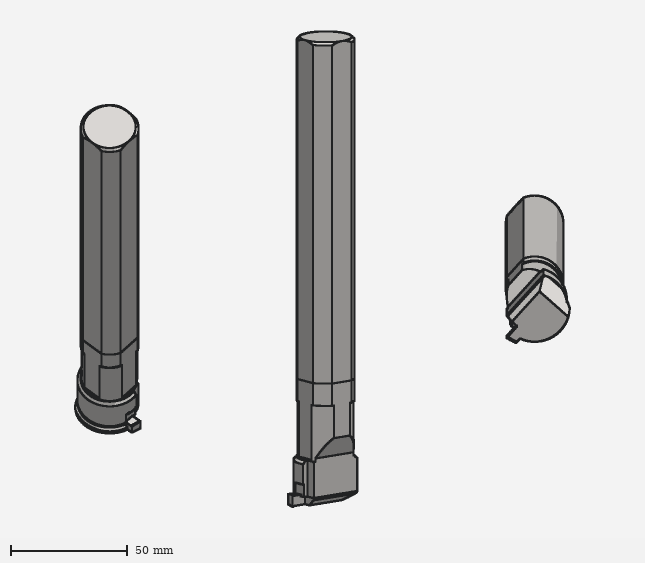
import cadquery as cq
import math


total_length = 203.7
shank_radius = 12.5
flat_offset = 11.2
end_chamfer = shank_radius - flat_offset
shank_bottom = 54.4

neck_top = 44.6
neck_radius = 12.0
collar_top = 20.0
collar_radius = 13.9
collar_chamfer = 1.5
flat_bottom = collar_top + 0.6
back_y = 6.1
back_slope_top = 30.4
back_slope_bottom = 21.4
gullet_x = flat_offset
gullet_y = 1.8
relief_x = 13.2
relief_top = 9.5

seat_z = 4.0
insert_bottom = 0.5
blade_radius = 15.0
blade_cone_top = 3.0
blade_cone_bottom = 2.0
insert_back_y = 5.7
insert_back_bevel = 2.6
heel_x = -6.5
heel_angle = 28.0

tip_x = collar_radius + 4.0
tip_top = 5.3
tip_neck_top = 4.9
tip_depth = 4.5
tip_flare = 0.6
tip_clearance = 1.0

cut_size = 81.5


def cylinder(radius, bottom, top):
    return cq.Workplane("XY").workplane(offset=bottom).circle(radius).extrude(top - bottom)


def box(x_range, y_range, z_range):
    size = [end - start for start, end in (x_range, y_range, z_range)]
    corner = (x_range[0], y_range[0], z_range[0])
    return cq.Workplane("XY").box(*size, centered=False).translate(corner)


def cut_flats(body, bottom, top):
    """Cut the clamping flats on the -Y, +X and +Y sides."""
    for angle in (-90, 0, 90):
        side = box((flat_offset, cut_size), (-cut_size, cut_size), (bottom, top))
        body = body.cut(side.rotate((0, 0, 0), (0, 0, 1), angle))
    return body


def heel_cut():
    """Wedge below the sloping heel on the -X side."""
    run = cut_size
    rise = run * math.tan(math.radians(heel_angle))
    profile = [
        (heel_x, insert_bottom),
        (heel_x - run, insert_bottom + rise),
        (heel_x - run, insert_bottom),
    ]
    return cq.Workplane("XZ").polyline(profile).close().extrude(cut_size / 2, both=True)


def make_shank():
    shank = cylinder(shank_radius, shank_bottom, total_length)
    shank = shank.faces(">Z").chamfer(end_chamfer)
    return cut_flats(shank, shank_bottom, total_length)


def make_head():
    head = cylinder(shank_radius, neck_top, shank_bottom)
    head = head.union(cylinder(neck_radius, collar_top, neck_top))
    head = cut_flats(head, flat_bottom, shank_bottom)
    collar = cylinder(collar_radius, seat_z, collar_top).faces(">Z").chamfer(collar_chamfer)
    head = head.union(collar)

    back_profile = [
        (back_y, seat_z),
        (back_y, back_slope_bottom),
        (flat_offset, back_slope_top),
        (cut_size, back_slope_top),
        (cut_size, seat_z),
    ]
    back = cq.Workplane("YZ").polyline(back_profile).close().extrude(cut_size, both=True)
    gullet = box((gullet_x, cut_size), (gullet_y, cut_size), (seat_z, collar_top))
    relief = box((relief_x, cut_size), (-cut_size, cut_size), (seat_z, relief_top))
    return head.cut(back).cut(gullet).cut(relief).cut(heel_cut())


def make_blade():
    """Curved supporting blade that forms the base of the insert."""
    half_section = [
        (0, insert_bottom),
        (blade_radius, insert_bottom),
        (blade_radius, blade_cone_bottom),
        (collar_radius, blade_cone_top),
        (collar_radius, seat_z),
        (0, seat_z),
    ]
    blade = cq.Workplane("XZ").polyline(half_section).close().revolve(360, (0, 0), (0, 1))

    back_profile = [
        (insert_back_y - insert_back_bevel, insert_bottom),
        (insert_back_y, insert_bottom + insert_back_bevel),
        (insert_back_y, seat_z),
        (cut_size, seat_z),
        (cut_size, insert_bottom),
    ]
    back = cq.Workplane("YZ").polyline(back_profile).close().extrude(cut_size, both=True)
    gullet = box((gullet_x, cut_size), (0, cut_size), (insert_bottom, seat_z))
    return blade.cut(back).cut(gullet).cut(heel_cut())


def tip_profile(end_x, bottom, top):
    """Tip outline with pointed corners reaching from bottom to top."""
    return [
        (relief_x, insert_bottom),
        (end_x - tip_flare, insert_bottom),
        (end_x, bottom),
        (end_x, top),
        (end_x - tip_flare, tip_neck_top),
        (relief_x, tip_neck_top),
    ]


def make_tip():
    """Cutting tip: flared at the rake face on y = 0, narrowing toward -Y."""
    rake = tip_profile(tip_x, 0, tip_top)
    front = tip_profile(tip_x - tip_clearance, insert_bottom, tip_neck_top)
    tip = cq.Workplane("XZ").polyline(rake).close()
    return tip.workplane(offset=tip_depth).polyline(front).close().loft(ruled=True)


def make_insert():
    return make_blade().union(make_tip())


shank = make_shank()
head = make_head()
insert = make_insert()

result = cq.Compound.makeCompound([shank.val(), head.val(), insert.val()])